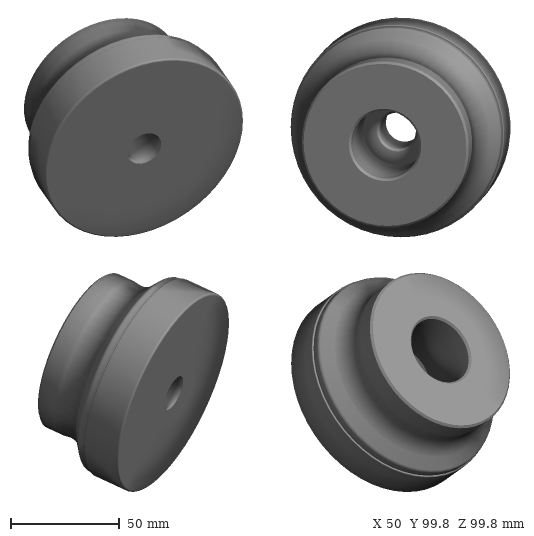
import cadquery as cq
import math

length = 50.0
flange_radius = 49.9
flange_start = 32.1
shoulder_edge_radius = 0.5
rear_edge_radius = 1.0
hub_chamfer = 1.0

groove_radius = 12.7
groove_center_x = 13.7
groove_floor_radius = 38.5
entry_angle = math.radians(12.7)
cone_angle = math.radians(50.0)
cone_end_x = 27.8
hub_blend_radius = 8.2
collar_blend_radius = 2.1

bore_radius = 16.0
bore_depth = flange_start
hole_radius = 8.5
bore_chamfer = 1.0


def arc_point(center, radius, angle):
    """Point on an arc, with the angle measured from the radial direction towards +X."""
    return center[0] + radius * math.sin(angle), center[1] + radius * math.cos(angle)


groove_center = (groove_center_x, groove_floor_radius + groove_radius)
groove_start = arc_point(groove_center, -groove_radius, entry_angle)
groove_bottom = (groove_center_x, groove_floor_radius)
groove_end = arc_point(groove_center, -groove_radius, -cone_angle)

hub_blend_center = arc_point(groove_center, -(groove_radius + hub_blend_radius), entry_angle)
hub_blend_start = arc_point(hub_blend_center, hub_blend_radius, 0)
hub_blend_middle = arc_point(hub_blend_center, hub_blend_radius, entry_angle / 2)
hub_radius = hub_blend_start[1]

cone_end = (cone_end_x, groove_end[1] + (cone_end_x - groove_end[0]) * math.tan(cone_angle))
collar_blend_center = arc_point(cone_end, -collar_blend_radius, -cone_angle)
collar_blend_middle = arc_point(collar_blend_center, collar_blend_radius, -cone_angle / 2)
collar_blend_end = arc_point(collar_blend_center, collar_blend_radius, 0)
collar_radius = collar_blend_end[1]


def make_body():
    """Solid of revolution without the bore."""
    profile = (
        cq.Workplane("XY")
        .lineTo(0, hub_radius - hub_chamfer)
        .lineTo(hub_chamfer, hub_radius)
        .lineTo(*hub_blend_start)
        .threePointArc(hub_blend_middle, groove_start)
        .threePointArc(groove_bottom, groove_end)
        .lineTo(*cone_end)
        .threePointArc(collar_blend_middle, collar_blend_end)
        .lineTo(flange_start, collar_radius)
        .lineTo(flange_start, flange_radius - shoulder_edge_radius)
        .radiusArc((flange_start + shoulder_edge_radius, flange_radius), shoulder_edge_radius)
        .lineTo(length - rear_edge_radius, flange_radius)
        .radiusArc((length, flange_radius - rear_edge_radius), rear_edge_radius)
        .lineTo(length, 0)
        .close()
    )
    return profile.revolve(360, (0, 0, 0), (1, 0, 0))


def make_bore():
    """Bore and smaller through hole, each with a chamfered mouth."""
    profile = (
        cq.Workplane("XY")
        .lineTo(0, bore_radius + bore_chamfer)
        .lineTo(bore_chamfer, bore_radius)
        .lineTo(bore_depth, bore_radius)
        .lineTo(bore_depth, hole_radius + bore_chamfer)
        .lineTo(bore_depth + bore_chamfer, hole_radius)
        .lineTo(length, hole_radius)
        .lineTo(length, 0)
        .close()
    )
    return profile.revolve(360, (0, 0, 0), (1, 0, 0))


result = make_body().cut(make_bore())